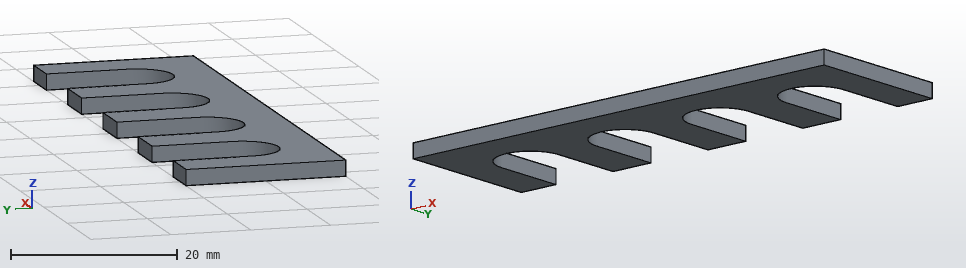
import cadquery as cq

length = 65.0
width = 20.0
thickness = 2.0

slot_count = 4
slot_pitch = 15.0
slot_width = 9.0
slot_depth = 14.5

slot_radius = slot_width / 2
open_edge_y = width / 2
slot_end_y = open_edge_y - slot_depth
arc_center_y = slot_end_y + slot_radius


def make_plate():
    return cq.Workplane("XY").box(length, width, thickness)


def make_slot(center_x):
    """U-shaped cutter, open at the +Y edge with a full-round closed end."""
    left_x = center_x - slot_radius
    right_x = center_x + slot_radius
    return (
        cq.Workplane("XY")
        .moveTo(left_x, open_edge_y)
        .lineTo(left_x, arc_center_y)
        .threePointArc((center_x, slot_end_y), (right_x, arc_center_y))
        .lineTo(right_x, open_edge_y)
        .close()
        .extrude(thickness, both=True)
    )


result = make_plate()
first_slot_x = -slot_pitch * (slot_count - 1) / 2
for index in range(slot_count):
    result = result.cut(make_slot(first_slot_x + index * slot_pitch))